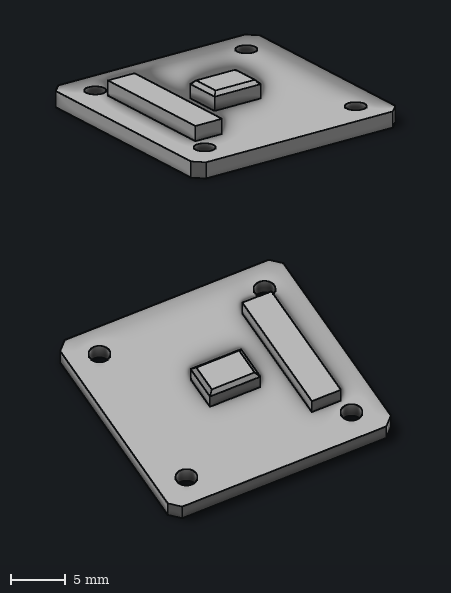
import cadquery as cq

board_side = 23.0
board_thickness = 1.6
corner_chamfer = 1.0

hole_diameter = 2.0
hole_spacing = 17.0

overall_height = 3.4
chip_width = 3.8
chip_length = 5.2
chip_height = overall_height - board_thickness
chip_chamfer = 0.4

connector_width = 13.6
connector_depth = 3.0
connector_height = 1.5
connector_center_y = -6.8


def make_board():
    """Square plate with cut corners and four through holes, resting on Z = 0."""
    plate = cq.Workplane("XY").box(
        board_side, board_side, board_thickness, centered=(True, True, False)
    )
    plate = plate.edges("|Z").chamfer(corner_chamfer)
    return (
        plate.faces(">Z").workplane()
        .rect(hole_spacing, hole_spacing, forConstruction=True)
        .vertices()
        .hole(hole_diameter)
    )


def make_block(width, depth, height, center_y=0.0):
    """Rectangular block standing on the top face of the board."""
    return (
        cq.Workplane("XY", origin=(0, center_y, board_thickness))
        .box(width, depth, height, centered=(True, True, False))
    )


chip = make_block(chip_width, chip_length, chip_height)
chip = chip.faces(">Z").edges().chamfer(chip_chamfer)

connector = make_block(connector_width, connector_depth, connector_height, connector_center_y)

result = make_board().union(chip).union(connector)